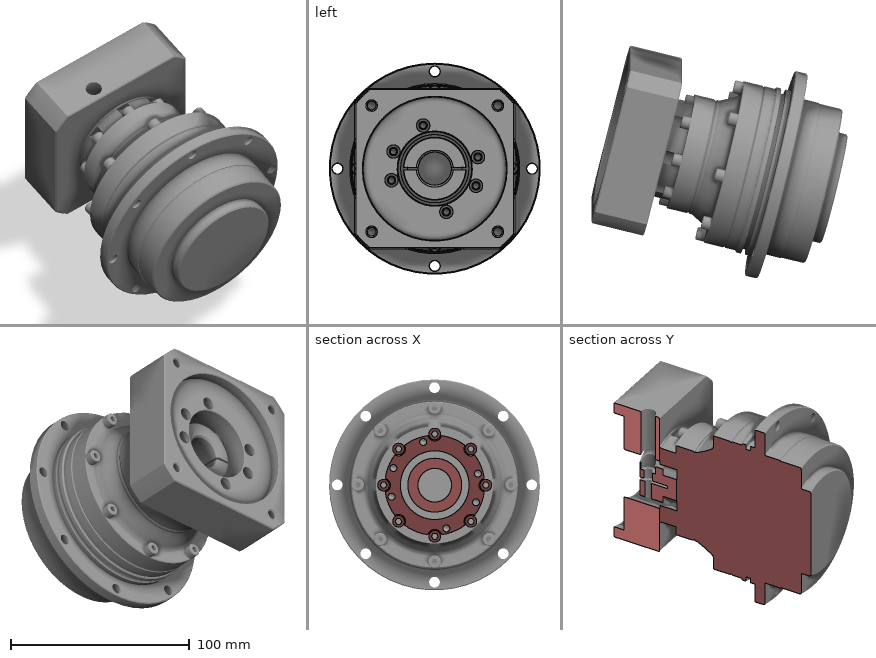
import cadquery as cq
import math

OVERALL_LENGTH = 129.0
CUT_MARGIN = 1.3

ADAPTER_LENGTH = 30.2
ADAPTER_WIDTH = 89.7
ADAPTER_CORNER_RADIUS = 57.9
ADAPTER_CHAMFER = 0.6
PILOT_RADIUS = 40.1
PILOT_DEPTH = 6.7
ADAPTER_BORE_RADIUS = 20.6
BORE_CHAMFER = 0.4

MOTOR_HOLE_OFFSET = 35.3
MOTOR_HOLE_RADIUS = 2.5
MOTOR_HOLE_MOUTH_RADIUS = 3.2
MOTOR_HOLE_DEPTH = 15.5

ADAPTER_SCREW_CIRCLE = 25.0
ADAPTER_SCREW_ANGLES = [75, 165, 255, 345, 22.5, 202.5]
COUNTERBORE_RADIUS = 3.7
COUNTERBORE_FLOOR_X = 23.2
CLEARANCE_RADIUS = 2.3
TAPPED_RADIUS = 1.8
TAPPED_DEPTH = 7.7
DRILL_POINT_ANGLE = 118.0

CLAMP_SCREW_X = 22.6
CLAMP_SCREW_Y = -13.3
CLAMP_ACCESS_RADIUS = 4.5
CLAMP_SEAT_Z = 6.5
CLAMP_CLEARANCE_RADIUS = 2.6
CLAMP_THREAD_RADIUS = 2.0

HUB_START_X = 17.2
HUB_RADIUS = 17.5
HUB_CHAMFER = 0.3
HUB_COLLAR_END_X = 32.2
HUB_NECK_RADIUS = 15.2
HUB_BORE_RADIUS = 9.3
HUB_BORE_CHAMFER = 1.0
HUB_BORE_END_X = 37.4
SLIT_WIDTH = 1.4
SLIT_END_X = 34.8

RECESS_RADIUS = 19.1
RECESS_END_X = 41.3
SPIGOT_RADIUS = 28.5
SPIGOT_END_X = 31.2
NECK_RADIUS = 28.1
NECK_END_X = 40.5
INPUT_FLANGE_RADIUS = 32.8
INPUT_FLANGE_END_X = 54.8
CONE_END_RADIUS = 37.3
CONE_END_X = 63.3
CONE_FILLET_REACH_X = 1.8
CONE_FILLET_REACH_R = 2.3
BODY_START_X = CONE_END_X + CONE_FILLET_REACH_X
BODY_RADIUS = 46.6
BODY_END_X = 83.6
BODY_CHAMFER = 0.4
SEAL_LAND_RADIUS = 47.6
SEAL_LAND_CHAMFER = 0.6
SEAL_GROOVE_RADIUS = 44.8
SEAL_GROOVE_START_X = 86.5
SEAL_GROOVE_END_X = 89.3
MOUNT_FLANGE_START_X = 92.1
MOUNT_FLANGE_END_X = 99.0
MOUNT_FLANGE_DIAMETER = 118.0
MOUNT_FLANGE_RADIUS = MOUNT_FLANGE_DIAMETER / 2
MOUNT_FLANGE_CHAMFER = 0.5
REAR_RADIUS = 44.8
REAR_END_X = 109.1
REAR_PILOT_RADIUS = 44.4
REAR_PILOT_END_X = 122.8
REAR_PILOT_CHAMFER = 0.8
OUTPUT_RADIUS = 31.3
OUTPUT_CHAMFER = 0.8

INPUT_JOINT_X = 52.8
BODY_JOINT_X = 76.9
INPUT_JOINT_HALF_WIDTH = 0.9
BODY_JOINT_HALF_WIDTH = 0.6
JOINT_DEPTH = 0.6

RING_COUNT = 8
HEAD_RADIUS = 3.6
HEAD_HEIGHT = 4.8
HEAD_CHAMFER = 0.4
HEX_ACROSS_CORNERS = 3.5
HEX_DEPTH = 2.0
INPUT_SCREW_CIRCLE = 28.6
BODY_SCREW_CIRCLE = 43.1
HEAD_RELIEF_RADIUS = 3.7
SCREW_TIP_RADIUS = 1.9
SCREW_TIP_END_X = 87.1
MOUNT_HOLE_CIRCLE = 54.5
MOUNT_HOLE_RADIUS = 3.0


def polar(radius, angle):
    """Point (y, z) at an angle in degrees from +Y towards +Z."""
    turn = math.radians(angle)
    return (radius * math.cos(turn), radius * math.sin(turn))


def ring_points(radius):
    return [polar(radius, 360 / RING_COUNT * i) for i in range(RING_COUNT)]


def rods(points, radius, start_x, end_x):
    """Cylinders parallel to X, centred on the (y, z) points."""
    return (
        cq.Workplane("YZ", origin=(start_x, 0, 0))
        .pushPoints(points)
        .circle(radius)
        .extrude(end_x - start_x)
    )


def upright_rod(radius, bottom_z, top_z):
    """Cylinder parallel to Z on the axis of the clamp screw."""
    return (
        cq.Workplane("XY", origin=(CLAMP_SCREW_X, CLAMP_SCREW_Y, bottom_z))
        .circle(radius)
        .extrude(top_z - bottom_z)
    )


def revolved(profile):
    """Solid of revolution about X from a closed (x, radius) profile."""
    return profile.close().revolve(360, (0, 0, 0), (1, 0, 0))


def drilled_hole(point, radius, start_x, depth, mouth_radius):
    """Blind hole cutter along +X with a 45 degree mouth chamfer and a drill point."""
    mouth = mouth_radius - radius
    point_length = radius / math.tan(math.radians(DRILL_POINT_ANGLE / 2))
    outline = (
        cq.Workplane("XZ")
        .moveTo(start_x, 0)
        .lineTo(start_x, mouth_radius)
        .lineTo(start_x + mouth, radius)
        .lineTo(start_x + depth, radius)
        .lineTo(start_x + depth + point_length, 0)
    )
    return revolved(outline).translate((0, *point))


def chamfered_bore(radius, start_x, end_x):
    """Bore cutter on the main axis with a chamfered mouth at start_x."""
    outline = (
        cq.Workplane("XZ")
        .moveTo(start_x, 0)
        .lineTo(start_x, radius + BORE_CHAMFER)
        .lineTo(start_x + BORE_CHAMFER, radius)
        .lineTo(end_x, radius)
        .lineTo(end_x, 0)
    )
    return revolved(outline)


def make_adapter():
    plate = cq.Workplane("YZ").rect(ADAPTER_WIDTH, ADAPTER_WIDTH).extrude(ADAPTER_LENGTH)
    plate = plate.intersect(rods([(0, 0)], ADAPTER_CORNER_RADIUS, 0, ADAPTER_LENGTH))
    plate = plate.faces("<X or >X").chamfer(ADAPTER_CHAMFER)

    plate = plate.cut(chamfered_bore(PILOT_RADIUS, 0, PILOT_DEPTH))
    plate = plate.cut(chamfered_bore(ADAPTER_BORE_RADIUS, PILOT_DEPTH, ADAPTER_LENGTH))

    for y in (-MOTOR_HOLE_OFFSET, MOTOR_HOLE_OFFSET):
        for z in (-MOTOR_HOLE_OFFSET, MOTOR_HOLE_OFFSET):
            plate = plate.cut(
                drilled_hole((y, z), MOTOR_HOLE_RADIUS, 0, MOTOR_HOLE_DEPTH, MOTOR_HOLE_MOUTH_RADIUS)
            )

    points = [polar(ADAPTER_SCREW_CIRCLE, angle) for angle in ADAPTER_SCREW_ANGLES]
    plate = plate.cut(rods(points, COUNTERBORE_RADIUS, PILOT_DEPTH, COUNTERBORE_FLOOR_X))
    plate = plate.cut(rods(points, CLEARANCE_RADIUS, COUNTERBORE_FLOOR_X, ADAPTER_LENGTH))

    return plate.cut(upright_rod(CLAMP_ACCESS_RADIUS, 0, ADAPTER_WIDTH / 2 + CUT_MARGIN))


def make_clamp_hub():
    outline = (
        cq.Workplane("XZ")
        .moveTo(HUB_START_X, HUB_BORE_RADIUS + HUB_BORE_CHAMFER)
        .lineTo(HUB_START_X, HUB_RADIUS - HUB_CHAMFER)
        .lineTo(HUB_START_X + HUB_CHAMFER, HUB_RADIUS)
        .lineTo(HUB_COLLAR_END_X, HUB_RADIUS)
        .lineTo(HUB_COLLAR_END_X, HUB_NECK_RADIUS)
        .lineTo(RECESS_END_X, HUB_NECK_RADIUS)
        .lineTo(RECESS_END_X, 0)
        .lineTo(HUB_BORE_END_X, 0)
        .lineTo(HUB_BORE_END_X, HUB_BORE_RADIUS)
        .lineTo(HUB_START_X + HUB_BORE_CHAMFER, HUB_BORE_RADIUS)
    )
    hub = revolved(outline)

    slit_length = SLIT_END_X - HUB_START_X
    slit = cq.Workplane("XY").box(slit_length, 2 * HUB_RADIUS, SLIT_WIDTH, centered=(False, True, True))
    hub = hub.cut(slit.translate((HUB_START_X, 0, 0)))

    hub = hub.cut(upright_rod(CLAMP_ACCESS_RADIUS, CLAMP_SEAT_Z, HUB_RADIUS))
    hub = hub.cut(upright_rod(CLAMP_CLEARANCE_RADIUS, 0, CLAMP_SEAT_Z))
    return hub.cut(upright_rod(CLAMP_THREAD_RADIUS, -HUB_RADIUS, 0))


def joint_groove(x, half_width, radius):
    """Ring cutter with a V section, opening at the given radius."""
    outline = (
        cq.Workplane("XZ")
        .moveTo(x - half_width, radius)
        .lineTo(x, radius - JOINT_DEPTH)
        .lineTo(x + half_width, radius)
    )
    return revolved(outline)


def cap_screw_heads(circle_radius, seat_x):
    """Socket heads standing on the face at seat_x, facing -X."""
    points = ring_points(circle_radius)
    top_x = seat_x - HEAD_HEIGHT
    heads = rods(points, HEAD_RADIUS, top_x, seat_x).faces("<X").chamfer(HEAD_CHAMFER)
    sockets = (
        cq.Workplane("YZ", origin=(top_x, 0, 0))
        .pushPoints(points)
        .polygon(6, HEX_ACROSS_CORNERS)
        .extrude(HEX_DEPTH)
    )
    return heads.cut(sockets)


def gearbox_blank():
    """Turned shape of the gearbox with the recess that holds the clamp hub."""
    outline = (
        cq.Workplane("XZ")
        .moveTo(ADAPTER_LENGTH, RECESS_RADIUS)
        .lineTo(ADAPTER_LENGTH, SPIGOT_RADIUS)
        .lineTo(SPIGOT_END_X, SPIGOT_RADIUS)
        .lineTo(SPIGOT_END_X, NECK_RADIUS)
        .lineTo(NECK_END_X, NECK_RADIUS)
        .lineTo(NECK_END_X, INPUT_FLANGE_RADIUS)
        .lineTo(INPUT_FLANGE_END_X, INPUT_FLANGE_RADIUS)
        .lineTo(CONE_END_X, CONE_END_RADIUS)
        .tangentArcPoint((BODY_START_X, CONE_END_RADIUS + CONE_FILLET_REACH_R), relative=False)
        .lineTo(BODY_START_X, BODY_RADIUS - BODY_CHAMFER)
        .lineTo(BODY_START_X + BODY_CHAMFER, BODY_RADIUS)
        .lineTo(BODY_END_X, BODY_RADIUS)
        .lineTo(BODY_END_X, SEAL_LAND_RADIUS - SEAL_LAND_CHAMFER)
        .lineTo(BODY_END_X + SEAL_LAND_CHAMFER, SEAL_LAND_RADIUS)
        .lineTo(SEAL_GROOVE_START_X, SEAL_LAND_RADIUS)
        .lineTo(SEAL_GROOVE_START_X, SEAL_GROOVE_RADIUS)
        .lineTo(SEAL_GROOVE_END_X, SEAL_GROOVE_RADIUS)
        .lineTo(SEAL_GROOVE_END_X, SEAL_LAND_RADIUS)
        .lineTo(MOUNT_FLANGE_START_X, SEAL_LAND_RADIUS)
        .lineTo(MOUNT_FLANGE_START_X, MOUNT_FLANGE_RADIUS - MOUNT_FLANGE_CHAMFER)
        .lineTo(MOUNT_FLANGE_START_X + MOUNT_FLANGE_CHAMFER, MOUNT_FLANGE_RADIUS)
        .lineTo(MOUNT_FLANGE_END_X - MOUNT_FLANGE_CHAMFER, MOUNT_FLANGE_RADIUS)
        .lineTo(MOUNT_FLANGE_END_X, MOUNT_FLANGE_RADIUS - MOUNT_FLANGE_CHAMFER)
        .lineTo(MOUNT_FLANGE_END_X, REAR_RADIUS)
        .lineTo(REAR_END_X, REAR_RADIUS)
        .lineTo(REAR_END_X, REAR_PILOT_RADIUS)
        .lineTo(REAR_PILOT_END_X - REAR_PILOT_CHAMFER, REAR_PILOT_RADIUS)
        .lineTo(REAR_PILOT_END_X, REAR_PILOT_RADIUS - REAR_PILOT_CHAMFER)
        .lineTo(REAR_PILOT_END_X, OUTPUT_RADIUS)
        .lineTo(OVERALL_LENGTH - OUTPUT_CHAMFER, OUTPUT_RADIUS)
        .lineTo(OVERALL_LENGTH, OUTPUT_RADIUS - OUTPUT_CHAMFER)
        .lineTo(OVERALL_LENGTH, 0)
        .lineTo(RECESS_END_X, 0)
        .lineTo(RECESS_END_X, RECESS_RADIUS)
    )
    return revolved(outline)


def make_gearbox():
    gearbox = gearbox_blank()
    gearbox = gearbox.cut(joint_groove(INPUT_JOINT_X, INPUT_JOINT_HALF_WIDTH, INPUT_FLANGE_RADIUS))
    gearbox = gearbox.cut(joint_groove(BODY_JOINT_X, BODY_JOINT_HALF_WIDTH, BODY_RADIUS))

    input_points = ring_points(INPUT_SCREW_CIRCLE)
    gearbox = gearbox.cut(rods(input_points, HEAD_RELIEF_RADIUS, SPIGOT_END_X, NECK_END_X))
    gearbox = gearbox.union(cap_screw_heads(INPUT_SCREW_CIRCLE, NECK_END_X))
    gearbox = gearbox.union(cap_screw_heads(BODY_SCREW_CIRCLE, BODY_START_X))

    tips = rods(ring_points(BODY_SCREW_CIRCLE), SCREW_TIP_RADIUS, SEAL_GROOVE_START_X, SCREW_TIP_END_X)
    gearbox = gearbox.cut(tips)

    for angle in ADAPTER_SCREW_ANGLES:
        point = polar(ADAPTER_SCREW_CIRCLE, angle)
        gearbox = gearbox.cut(
            drilled_hole(point, TAPPED_RADIUS, ADAPTER_LENGTH, TAPPED_DEPTH, CLEARANCE_RADIUS)
        )

    mount_points = ring_points(MOUNT_HOLE_CIRCLE)
    return gearbox.cut(rods(mount_points, MOUNT_HOLE_RADIUS, MOUNT_FLANGE_START_X, MOUNT_FLANGE_END_X))


adapter = make_adapter()
clamp_hub = make_clamp_hub()
gearbox = make_gearbox()

result = cq.Compound.makeCompound([adapter.solids().val(), clamp_hub.solids().val(), gearbox.solids().val()])